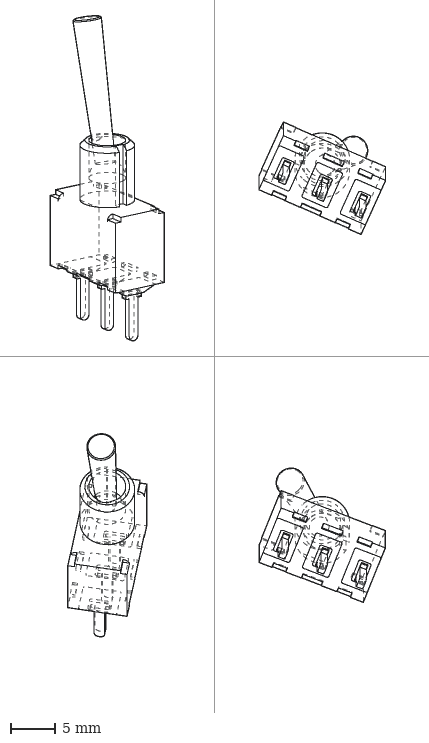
import cadquery as cq
import math

total_height = 36.45

case_length = 12.7
case_width = 6.85
case_height = 8.9

cover_length = 9.55
cover_thickness = 0.55
cover_bend_radius = 0.75
skirt_gap = 0.45
tab_inner_x = 1.2
tab_outer_x = 3.15
tab_bend_radius = 0.33

bushing_diameter = 6.23
bushing_height = 7.07
bushing_chamfer = 0.6
bore_diameter = 4.2
keyway_width = 1.02
keyway_floor_x = 2.35

lever_tilt = 12.3
pivot_height = 2.55
lever_base_diameter = 2.2
lever_tip_diameter = 3.28
lever_tip_chamfer = 0.15

seat_length = 3.2
seat_width = 4.4
seat_end_length = 1.5
seat_end_width = 2.6
seat_height = 1.0
seat_corner_radius = 0.22
terminal_thickness = 0.75
terminal_width = 1.25
terminal_drop = 6.65
collar_width = 2.15
collar_height = 0.55

terminal_pitch = (case_length - seat_length) / 2
pivot_z = case_height + pivot_height


def make_case():
    """Case block with the rounded, notched cover and its bent tabs."""
    case = cq.Workplane("XY").box(case_length, case_width, case_height, centered=(True, True, False))
    case = case.faces(">Z").edges("|X").fillet(cover_bend_radius)

    flange_length = (case_length - cover_length) / 2
    flange_height = case_height - cover_thickness
    for side in (-1, 1):
        flange_x = side * (case_length - flange_length) / 2
        notched_end = (
            cq.Workplane("XY")
            .center(flange_x, 0)
            .rect(flange_length, case_width)
            .extrude(flange_height)
            .union(
                cq.Workplane("XY")
                .center(flange_x, 0)
                .rect(flange_length, case_width - 2 * cover_bend_radius)
                .extrude(case_height)
            )
        )
        end_block = cq.Workplane("XY").center(flange_x, 0).rect(flange_length, case_width).extrude(case_height)
        case = case.cut(end_block).union(notched_end)

    tab_length = tab_outer_x - tab_inner_x
    tab_x = (tab_outer_x + tab_inner_x) / 2
    for side in (-1, 1):
        recess_y = side * (case_width - cover_thickness) / 2
        recess = cq.Workplane("XY").center(0, recess_y).rect(cover_length, cover_thickness).extrude(skirt_gap)
        case = case.cut(recess)
        outer_edge = ">Y" if side > 0 else "<Y"
        tabs = (
            cq.Workplane("XY")
            .pushPoints([(-tab_x, recess_y), (tab_x, recess_y)])
            .rect(tab_length, cover_thickness)
            .extrude(skirt_gap)
            .faces("<Z")
            .edges(outer_edge)
            .fillet(tab_bend_radius)
        )
        case = case.union(tabs)
    return case


def make_bushing():
    """Chamfered sleeve, bored down to the pivot, with a keyway on the +X side."""
    bushing = (
        cq.Workplane("XY", origin=(0, 0, case_height))
        .circle(bushing_diameter / 2)
        .extrude(bushing_height)
        .faces(">Z")
        .chamfer(bushing_chamfer)
    )
    bore = cq.Workplane("XY", origin=(0, 0, pivot_z)).circle(bore_diameter / 2).extrude(bushing_height)
    keyway = (
        cq.Workplane("XY", origin=(keyway_floor_x, 0, case_height))
        .box(bushing_diameter, keyway_width, bushing_height, centered=(False, True, False))
    )
    return bushing.cut(bore).cut(keyway)


def make_lever():
    """Tapered lever leaning towards -X, standing on a ball that fills the bore."""
    tilt = math.radians(lever_tilt)
    base_radius = lever_base_diameter / 2
    tip_radius = lever_tip_diameter / 2
    tip_flat_radius = tip_radius - lever_tip_chamfer
    tip_z = total_height - terminal_drop
    lever_length = (tip_z - pivot_z - tip_flat_radius * math.sin(tilt)) / math.cos(tilt)
    lever = (
        cq.Workplane("XZ")
        .polyline([
            (0, 0),
            (base_radius, 0),
            (tip_radius, lever_length - lever_tip_chamfer),
            (tip_flat_radius, lever_length),
            (0, lever_length),
        ])
        .close()
        .revolve(360, (0, 0), (0, 1))
        .rotate((0, 0, 0), (0, 1, 0), -lever_tilt)
    )
    ball = cq.Workplane("XY").sphere(bore_diameter / 2, angle1=0)
    return lever.union(ball).translate((0, 0, pivot_z))


def make_terminal():
    """Tapered seat with a collared, round-ended blade below it."""
    seat_top = cq.Sketch().rect(seat_length, seat_width).vertices().fillet(seat_corner_radius)
    seat_bottom = cq.Sketch().rect(seat_end_length, seat_end_width).vertices().fillet(seat_corner_radius)
    seat = (
        cq.Workplane("XY")
        .placeSketch(seat_top, seat_bottom.moved(cq.Location(cq.Vector(0, 0, -seat_height))))
        .loft(ruled=True)
    )
    half_width = terminal_width / 2
    half_collar = collar_width / 2
    collar_bottom = -seat_height - collar_height
    blade = (
        cq.Workplane("YZ")
        .moveTo(-half_collar, -seat_height)
        .lineTo(-half_collar, collar_bottom)
        .lineTo(-half_width, collar_bottom)
        .lineTo(-half_width, half_width - terminal_drop)
        .threePointArc((0, -terminal_drop), (half_width, half_width - terminal_drop))
        .lineTo(half_width, collar_bottom)
        .lineTo(half_collar, collar_bottom)
        .lineTo(half_collar, -seat_height)
        .close()
        .extrude(terminal_thickness / 2, both=True)
    )
    return seat.union(blade)


result = make_case().union(make_bushing()).union(make_lever())
for position in (-1, 0, 1):
    result = result.union(make_terminal().translate((position * terminal_pitch, 0, 0)))